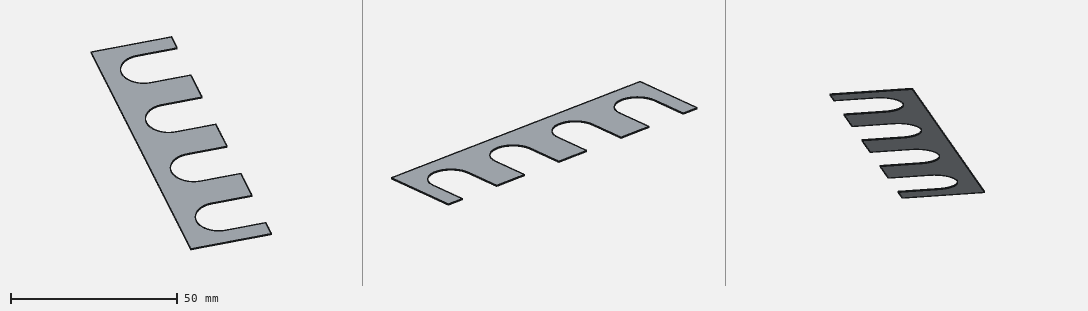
import cadquery as cq

slot_count = 4
length = 101.6
thickness = 0.38
slot_radius = 7.0

pitch = length / slot_count
width = pitch
slot_center_y = width / 2


def slot_cutter(center_x):
    """Round slot bottom joined to a straight channel reaching the +Y edge."""
    round_end = (
        cq.Workplane("XY")
        .center(center_x, slot_center_y)
        .circle(slot_radius)
        .extrude(thickness)
    )
    channel = cq.Workplane("XY").box(
        2 * slot_radius, width - slot_center_y, thickness, centered=(True, False, False)
    ).translate((center_x, slot_center_y, 0))
    return round_end.union(channel)


result = cq.Workplane("XY").box(length, width, thickness, centered=False)
for index in range(slot_count):
    result = result.cut(slot_cutter((index + 0.5) * pitch))